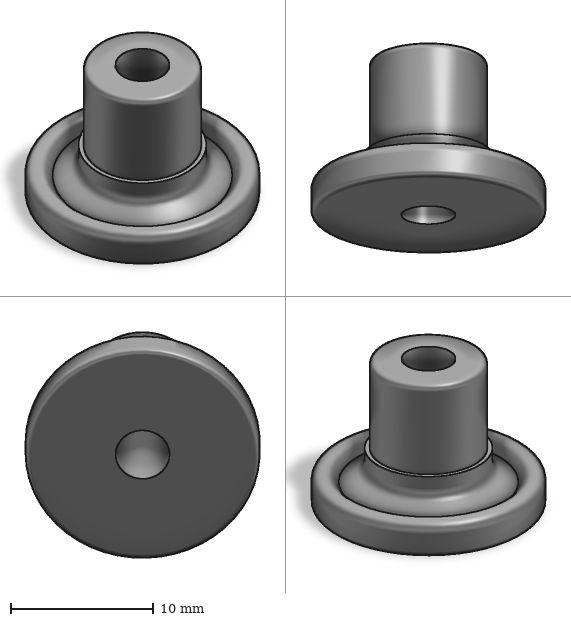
import cadquery as cq
import math

flange_radius = 8.25
total_height = 11.5
bore_diameter = 3.8

stem_radius = 8.3 / 2
stem_edge_round = 0.5
collar_radius = 9.0 / 2
collar_top = 4.47
collar_bottom = 3.48

rim_top = 2.69
rim_round = 0.81
base_edge_round = 0.4
rim_slope_top_radius = 6.81
groove_radius = 6.32
cone_angle = math.radians(33)
neck_round = 0.99

crest_radius = flange_radius - rim_round
crest_center_z = rim_top - rim_round
crest_offset = crest_radius - rim_slope_top_radius
crest_rise = math.sqrt(rim_round**2 - crest_offset**2)
rim_slope_top = crest_center_z + crest_rise
groove_z = rim_slope_top - (rim_slope_top_radius - groove_radius) * crest_offset / crest_rise

neck_center_radius = collar_radius + neck_round


def neck_point(angle):
    """Point on the neck arc, with the angle measured up from the collar side."""
    return (
        neck_center_radius - neck_round * math.cos(angle),
        collar_bottom - neck_round * math.sin(angle),
    )


neck_sweep = math.pi / 2 - cone_angle
diagonal = math.sqrt(0.5)

profile = (
    cq.Workplane("XZ")
    .lineTo(flange_radius - base_edge_round, 0)
    .threePointArc(
        (
            flange_radius - base_edge_round * (1 - diagonal),
            base_edge_round * (1 - diagonal),
        ),
        (flange_radius, base_edge_round),
    )
    .lineTo(flange_radius, crest_center_z)
    .threePointArc((crest_radius, rim_top), (rim_slope_top_radius, rim_slope_top))
    .lineTo(groove_radius, groove_z)
    .lineTo(*neck_point(neck_sweep))
    .threePointArc(neck_point(neck_sweep / 2), (collar_radius, collar_bottom))
    .lineTo(collar_radius, collar_top)
    .lineTo(stem_radius, collar_top)
    .lineTo(stem_radius, total_height - stem_edge_round)
    .threePointArc(
        (
            stem_radius - stem_edge_round * (1 - diagonal),
            total_height - stem_edge_round * (1 - diagonal),
        ),
        (stem_radius - stem_edge_round, total_height),
    )
    .lineTo(0, total_height)
    .close()
)
body = profile.revolve(360, (0, 0, 0), (0, 1, 0))

bore = cq.Workplane("XY").circle(bore_diameter / 2).extrude(total_height)

result = body.cut(bore)